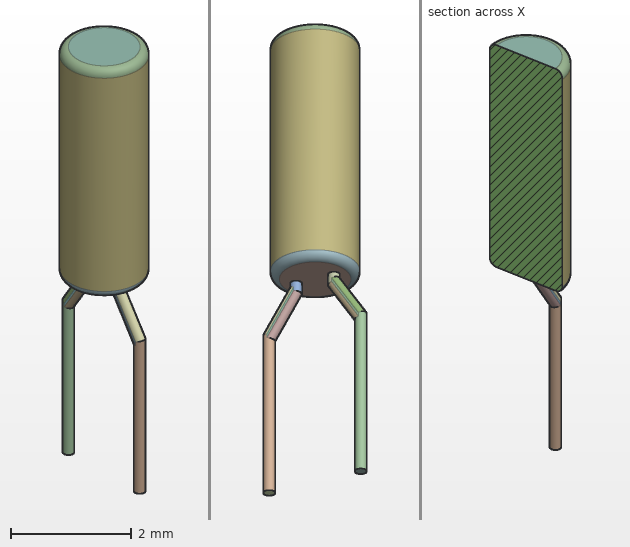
import cadquery as cq

total_height = 8.36
total_width = 1.9

can_diameter = 1.5
can_height = 4.5
can_edge_radius = 0.15

lead_diameter = 0.2
lead_exit_spacing = 0.7
lead_tip_spacing = total_width - lead_diameter
lower_bend_z = 2.98
upper_bend_z = 3.75
bend_drop = 0.07
lead_embed_depth = 0.08

can_bottom_z = total_height - can_height


def make_can():
    """Upright cylinder with both end edges rounded."""
    can = cq.Workplane("XY").workplane(offset=can_bottom_z).circle(can_diameter / 2).extrude(can_height)
    return can.faces("<Z or >Z").edges().fillet(can_edge_radius)


def make_wire(tip_x, exit_x, drop):
    """Round wire from tip to can with two mitred bends, both lowered by drop."""
    path = (
        cq.Workplane("XZ")
        .moveTo(tip_x, 0)
        .lineTo(tip_x, lower_bend_z - drop)
        .lineTo(exit_x, upper_bend_z - drop)
        .lineTo(exit_x, can_bottom_z + lead_embed_depth)
    )
    profile = cq.Workplane("XY").center(tip_x, 0).circle(lead_diameter / 2)
    return profile.sweep(path, transition="right")


def make_lead(side):
    """Lead on the -X or +X side, its slanted run widened to two half rounds joined by flats."""
    tip_x = side * lead_tip_spacing / 2
    exit_x = side * lead_exit_spacing / 2
    flat_web = (
        cq.Workplane("XZ")
        .moveTo(tip_x, lower_bend_z)
        .lineTo(exit_x, upper_bend_z)
        .lineTo(exit_x, upper_bend_z - bend_drop)
        .lineTo(tip_x, lower_bend_z - bend_drop)
        .close()
        .extrude(lead_diameter / 2, both=True)
    )
    outer_wire = make_wire(tip_x, exit_x, 0)
    inner_wire = make_wire(tip_x, exit_x, bend_drop)
    return outer_wire.union(inner_wire).union(flat_web)


result = make_can()
for side in (-1, 1):
    result = result.union(make_lead(side))